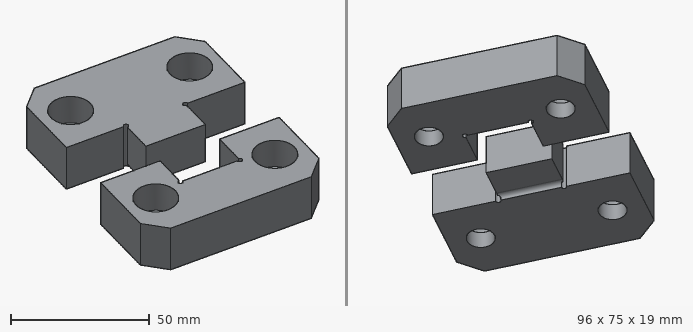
import cadquery as cq

LENGTH = 96.0
WIDTH = 75.0
HEIGHT = 19.0

BLOCK_LENGTH = 36.0
CORNER_CHAMFER = 8.0
RELIEF_RADIUS = 1.0
OUTER_END = LENGTH / 2
INNER_FACE = OUTER_END - BLOCK_LENGTH

TONGUE_WIDTH = 25.0
TONGUE_LENGTH = 14.0
TONGUE_UNDERCUT = 2.0
TONGUE_ROOT_RADIUS = 1.9
SLOT_DEPTH = 14.3

HOLE_DIAMETER = 10.5
COUNTERBORE_DIAMETER = 16.5
COUNTERBORE_DEPTH = 12.0
HOLE_SPACING = 50.0
HOLE_END_DISTANCE = 18.0


def plain_block(side):
    """Block at the -X (side = -1) or +X (side = 1) end, with chamfered outer corners."""
    outer_edges = "|Z and <X" if side < 0 else "|Z and >X"
    return (
        cq.Workplane("XY")
        .box(BLOCK_LENGTH, WIDTH, HEIGHT, centered=(True, True, False))
        .edges(outer_edges)
        .chamfer(CORNER_CHAMFER)
        .translate((side * (OUTER_END - BLOCK_LENGTH / 2), 0, 0))
    )


def cut_screw_holes(block, side):
    """Drill two through holes, counterbored from the top."""
    hole_x = side * (OUTER_END - HOLE_END_DISTANCE)
    return (
        block.faces(">Z")
        .workplane(origin=(0, 0, HEIGHT))
        .pushPoints([(hole_x, -HOLE_SPACING / 2), (hole_x, HOLE_SPACING / 2)])
        .cboreHole(HOLE_DIAMETER, COUNTERBORE_DIAMETER, COUNTERBORE_DEPTH)
    )


def cut_corner_reliefs(block, corner_x):
    """Cut round vertical reliefs centred on the two inside corners at corner_x."""
    reliefs = (
        cq.Workplane("XY")
        .pushPoints([(corner_x, -TONGUE_WIDTH / 2), (corner_x, TONGUE_WIDTH / 2)])
        .circle(RELIEF_RADIUS)
        .extrude(HEIGHT)
    )
    return block.cut(reliefs)


def make_tongue():
    """Raised tongue with a concave fillet where its underside meets the block."""
    root_x = -INNER_FACE
    return (
        cq.Workplane("XZ")
        .moveTo(root_x, HEIGHT)
        .lineTo(root_x + TONGUE_LENGTH, HEIGHT)
        .lineTo(root_x + TONGUE_LENGTH, TONGUE_UNDERCUT)
        .lineTo(root_x + TONGUE_ROOT_RADIUS, TONGUE_UNDERCUT)
        .radiusArc((root_x, TONGUE_UNDERCUT - TONGUE_ROOT_RADIUS), -TONGUE_ROOT_RADIUS)
        .close()
        .extrude(TONGUE_WIDTH / 2, both=True)
    )


def make_tongue_block():
    block = plain_block(-1).union(make_tongue())
    block = cut_corner_reliefs(block, -INNER_FACE)
    return cut_screw_holes(block, -1)


def make_slot_block():
    slot = (
        cq.Workplane("XY")
        .box(SLOT_DEPTH, TONGUE_WIDTH, HEIGHT, centered=(False, True, False))
        .translate((INNER_FACE, 0, 0))
    )
    block = plain_block(1).cut(slot)
    block = cut_corner_reliefs(block, INNER_FACE + SLOT_DEPTH)
    return cut_screw_holes(block, 1)


tongue_block = make_tongue_block()
slot_block = make_slot_block()

result = cq.Compound.makeCompound([tongue_block.val(), slot_block.val()])